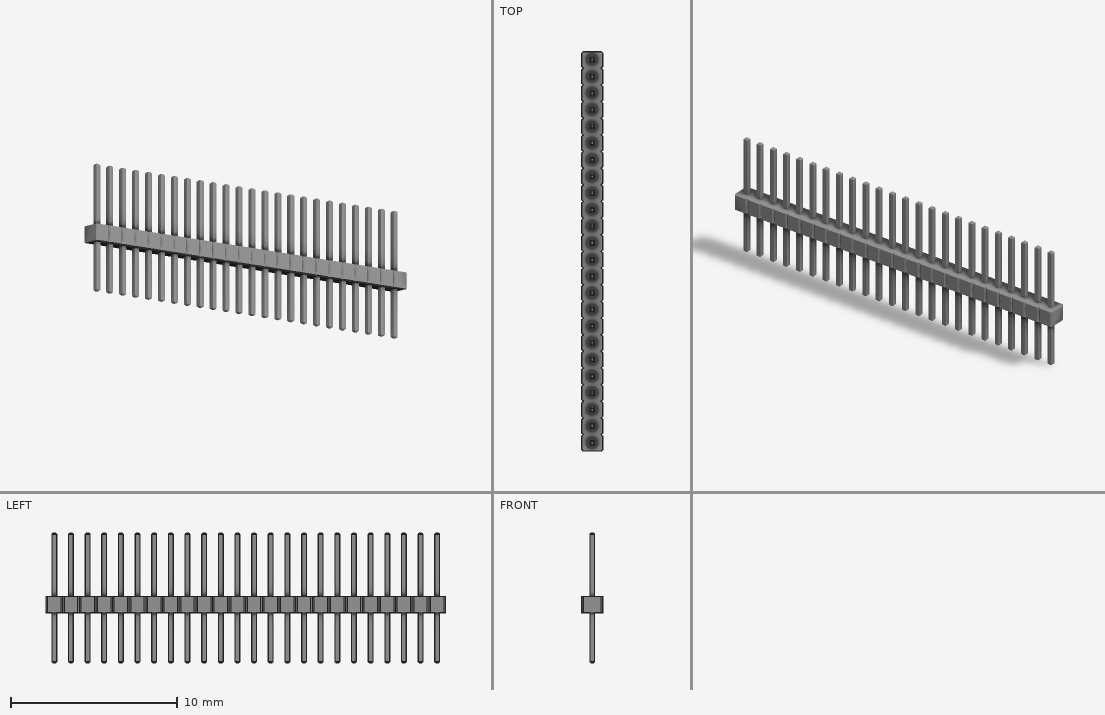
import cadquery as cq

pin_count = 24
pitch = 1.0

housing_width = 1.27
housing_height = 1.0
corner_chamfer = 0.1

pin_side = 0.3
pin_rise = 3.8
pin_drop = 3.0
tip_chamfer = 0.08

pin_length = pin_drop + housing_height + pin_rise
row_length = pin_count * pitch
pin_places = [(0, (i + 0.5) * pitch - row_length / 2) for i in range(pin_count)]


def make_cell():
    """Housing block around one pin; its chamfered corners form the break notches."""
    return (
        cq.Workplane("XY")
        .rect(housing_width, pitch)
        .extrude(housing_height)
        .edges("|Z")
        .chamfer(corner_chamfer)
    )


def make_pin():
    """Square pin through the housing, with a chamfered tip at each end."""
    return (
        cq.Workplane("XY")
        .workplane(offset=-pin_drop)
        .rect(pin_side, pin_side)
        .extrude(pin_length)
        .faces("<Z or >Z")
        .edges()
        .chamfer(tip_chamfer)
    )


position = make_cell().union(make_pin())

result = cq.Workplane("XY")
for place in pin_places:
    result = result.union(position.translate((*place, 0)))